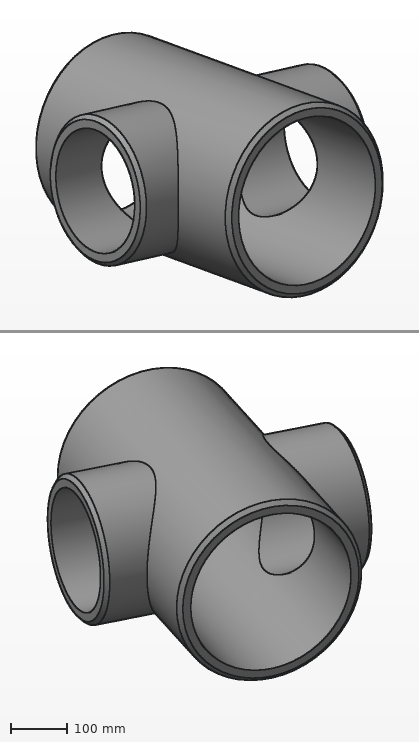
import cadquery as cq

run_length = 559.0
run_diameter = 355.5
run_bore = 308.0
run_bevel = 8.5

branch_span = 514.0
branch_diameter = 273.0
branch_bore = 226.0
branch_bevel = 8.0


def centred_cylinder(plane, diameter, length):
    """Solid cylinder centred on the origin, along the normal of the plane."""
    return cq.Workplane(plane).circle(diameter / 2).extrude(length / 2, both=True)


def bevelled_cylinder(plane, diameter, length, bevel):
    """Centred cylinder with a weld-preparation bevel on both end rims."""
    return centred_cylinder(plane, diameter, length).edges("%CIRCLE").chamfer(bevel)


run = bevelled_cylinder("YZ", run_diameter, run_length, run_bevel)
branches = bevelled_cylinder("XZ", branch_diameter, branch_span, branch_bevel)
body = run.union(branches)

run_passage = centred_cylinder("YZ", run_bore, run_length)
branch_passage = centred_cylinder("XZ", branch_bore, branch_span)
result = body.cut(run_passage).cut(branch_passage)